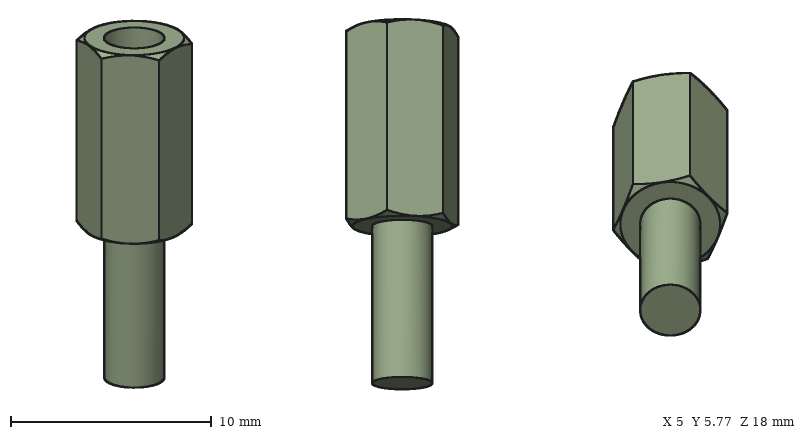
import cadquery as cq
import math

TOTAL_LENGTH = 18.0
HEX_LENGTH = 10.0
ACROSS_FLATS = 5.0
THREAD_DIAMETER = 3.0
BORE_DEPTH = 7.0
FACE_DIAMETER = 4.97
CHAMFER_ANGLE = 30.0

STUD_LENGTH = TOTAL_LENGTH - HEX_LENGTH
ACROSS_CORNERS = ACROSS_FLATS / math.cos(math.pi / 6)
FACE_RADIUS = FACE_DIAMETER / 2
CORNER_RADIUS = ACROSS_CORNERS / 2
CHAMFER_DROP = (CORNER_RADIUS - FACE_RADIUS) * math.tan(math.radians(CHAMFER_ANGLE))


def make_chamfer_envelope():
    """Revolved cylinder with conical ends that trims the hexagon corners."""
    return (
        cq.Workplane("XZ")
        .moveTo(0, 0)
        .lineTo(FACE_RADIUS, 0)
        .lineTo(CORNER_RADIUS, CHAMFER_DROP)
        .lineTo(CORNER_RADIUS, HEX_LENGTH - CHAMFER_DROP)
        .lineTo(FACE_RADIUS, HEX_LENGTH)
        .lineTo(0, HEX_LENGTH)
        .close()
        .revolve(360, (0, 0), (0, 1))
    )


def make_hex_body():
    """Hexagonal sleeve, flats facing +X and -X, with a blind bore from the top."""
    prism = (
        cq.Workplane("XY")
        .transformed(rotate=(0, 0, 30))
        .polygon(6, ACROSS_CORNERS)
        .extrude(HEX_LENGTH)
    )
    bore = (
        cq.Workplane("XY", origin=(0, 0, HEX_LENGTH))
        .circle(THREAD_DIAMETER / 2)
        .extrude(-BORE_DEPTH)
    )
    return prism.intersect(make_chamfer_envelope()).cut(bore)


def make_stud():
    """Plain round stud standing against the lower face of the hexagon."""
    return cq.Workplane("XY").circle(THREAD_DIAMETER / 2).extrude(-STUD_LENGTH)


hex_body = make_hex_body()
stud = make_stud()

result = cq.Compound.makeCompound([hex_body.val(), stud.val()])